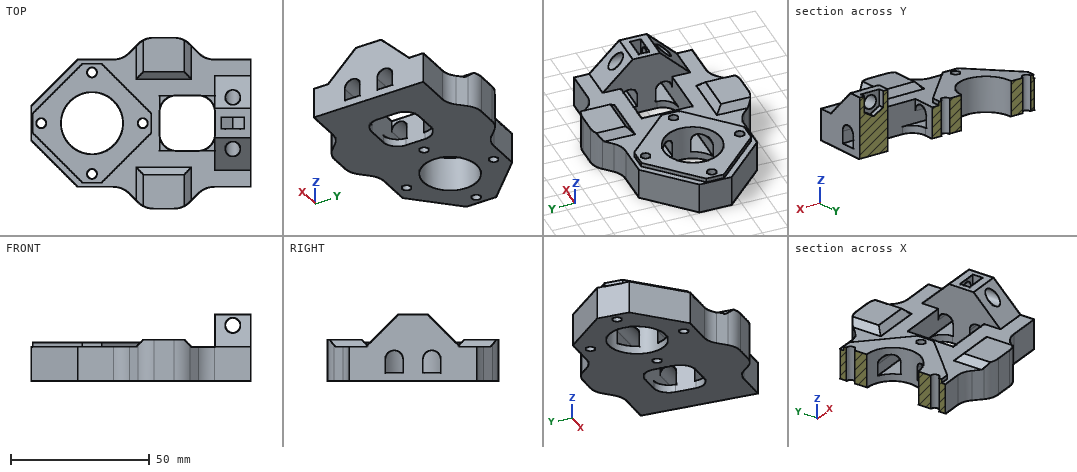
import cadquery as cq
import math

front_x = -22.0
length = 79.5
back_x = front_x + length
body_half_width = 23.1
body_height = 12.4
nose_square_side = 40.0

lobe_x = 26.0
lobe_half_width = 31.0
lobe_tip_length = 14.0
lobe_fillet = 8.0
pad_top_z = 15.0
pad_base_length = 20.0
pad_inner_y = 16.0

seat_top_z = 14.0
seat_square_side = 35.35
seat_width = 43.0
bore_diameter = 22.4
screw_spacing = 26.0
screw_hole_diameter = 3.5

pocket_x = 34.5
pocket_side = 20.0
pocket_floor_z = 3.0
pocket_hole_corner = 6.0
tunnel_width = 6.4
tunnel_top_z = 11.1

block_length = 13.0
block_top_z = 24.15
block_top_width = 10.7
tension_hole_diameter = 5.4
tension_hole_depth = 4.0
tension_hole_z = block_top_z - tension_hole_depth
nut_across_flats = 8.4
nut_slot_width = 4.2


def make_body():
    """Flat body with a 90-degree truncated nose and a rounded lobe on each side."""
    nose_reach = nose_square_side / math.sqrt(2)
    nose_tip_half_width = nose_reach + front_x
    shoulder_x = body_half_width - nose_reach
    half_tip = lobe_tip_length / 2
    half_root = half_tip + lobe_half_width - body_half_width
    right_side = [
        (front_x, -nose_tip_half_width),
        (shoulder_x, -body_half_width),
        (lobe_x - half_root, -body_half_width),
        (lobe_x - half_tip, -lobe_half_width),
        (lobe_x + half_tip, -lobe_half_width),
        (lobe_x + half_root, -body_half_width),
        (back_x, -body_half_width),
    ]
    left_side = [(x, -y) for x, y in reversed(right_side)]
    body = cq.Workplane("XY").polyline(right_side + left_side).close().extrude(pad_top_z)
    margin = 1.0
    lobe_edges = cq.selectors.BoxSelector(
        (lobe_x - half_root - margin, -lobe_half_width - margin, 0),
        (lobe_x + half_root + margin, lobe_half_width + margin, pad_top_z),
    )
    return body.edges("|Z").edges(lobe_edges).fillet(lobe_fillet)


def make_pad_limit(side):
    """Block with 45-degree sides that bounds the pad on one lobe (side is +1 or -1)."""
    rise = pad_top_z - body_height
    outer_y = lobe_half_width + 2 * rise
    pad_width = outer_y - pad_inner_y
    return (
        cq.Workplane("XY", origin=(lobe_x, side * (pad_inner_y + outer_y) / 2, body_height))
        .rect(pad_base_length, pad_width)
        .workplane(offset=rise)
        .rect(pad_base_length - 2 * rise, pad_width - 2 * rise)
        .loft(ruled=True)
    )


def make_base():
    """Body cut down to its deck, with only the two lobe pads left standing."""
    tall_body = make_body()
    deck_limit = cq.Workplane("XY").rect(2 * length, 2 * length).extrude(body_height)
    return tall_body.intersect(deck_limit.union(make_pad_limit(1)).union(make_pad_limit(-1)))


def make_seat():
    """Raised square seat turned 45 degrees, its corners cut off square to the axes."""
    height = seat_top_z - body_height
    origin = (0, 0, body_height)
    diamond = cq.Workplane("XY", origin=origin).transformed(rotate=(0, 0, 45))
    diamond = diamond.rect(seat_square_side, seat_square_side).extrude(height)
    return diamond.intersect(cq.Workplane("XY", origin=origin).rect(seat_width, seat_width).extrude(height))


def make_block():
    """Trapezoidal tensioner block with 45-degree flanks, flush with the back face."""
    rise = block_top_z - body_height
    half_top = block_top_width / 2
    profile = [
        (-half_top - rise, body_height),
        (half_top + rise, body_height),
        (half_top, block_top_z),
        (-half_top, block_top_z),
    ]
    return cq.Workplane("YZ", origin=(back_x, 0, 0)).polyline(profile).close().extrude(-block_length)


def make_motor_holes():
    """Motor bore and its four screw holes, through the whole seat."""
    screw_circle_radius = screw_spacing / math.sqrt(2)
    bore = cq.Workplane("XY").circle(bore_diameter / 2).extrude(seat_top_z)
    screws = cq.Workplane("XY").polarArray(screw_circle_radius, 0, 360, 4)
    return bore.union(screws.circle(screw_hole_diameter / 2).extrude(seat_top_z))


def make_pocket():
    """Square pocket open at the top, with a round-cornered opening of the same width through its floor."""
    at_pocket = (pocket_x, 0, 0)
    square = cq.Workplane("XY", origin=at_pocket).rect(pocket_side, pocket_side).extrude(body_height)
    opening = square.edges("|Z").fillet(pocket_hole_corner)
    return opening.union(square.intersect(square.translate((0, 0, pocket_floor_z))))


def make_tunnel(side):
    """Round-topped tunnel from the motor bore to the back face (side is +1 or -1)."""
    radius = tunnel_width / 2
    center_y = side * (pocket_side / 2 - radius)
    spring_z = tunnel_top_z - radius
    return (
        cq.Workplane("YZ")
        .moveTo(center_y - radius, pocket_floor_z)
        .lineTo(center_y - radius, spring_z)
        .threePointArc((center_y, tunnel_top_z), (center_y + radius, spring_z))
        .lineTo(center_y + radius, pocket_floor_z)
        .close()
        .extrude(back_x)
    )


def make_tension_cut():
    """Cross hole through the block, with a hexagonal nut slot open at the top."""
    axis = cq.Workplane("XZ", origin=(back_x - block_length / 2, 0, tension_hole_z))
    hole = axis.circle(tension_hole_diameter / 2).extrude(body_half_width, both=True)
    half_flats = nut_across_flats / 2
    half_side = half_flats / math.sqrt(3)
    slot_profile = [
        (0, -2 * half_side),
        (half_flats, -half_side),
        (half_flats, tension_hole_depth),
        (-half_flats, tension_hole_depth),
        (-half_flats, -half_side),
    ]
    return hole.union(axis.polyline(slot_profile).close().extrude(nut_slot_width / 2, both=True))


result = make_base().union(make_seat()).union(make_block())
result = result.cut(make_motor_holes()).cut(make_pocket())
for tunnel_side in (1, -1):
    result = result.cut(make_tunnel(tunnel_side))
result = result.cut(make_tension_cut())